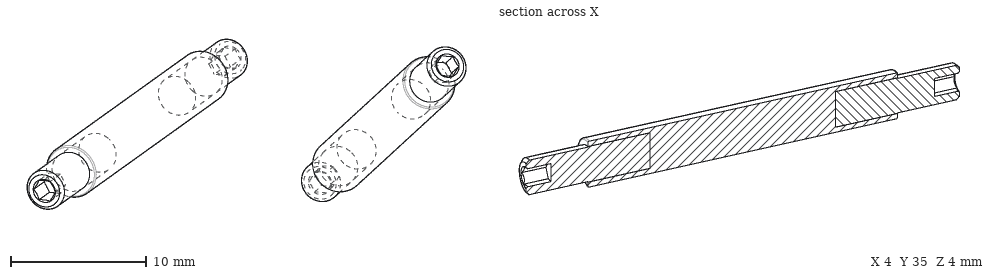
import cadquery as cq
import math

total_length = 35.0
sleeve_diameter = 4.0
screw_diameter = 3.0
screw_tip_diameter = 2.5
screw_protrusion = 5.0
screw_engagement = screw_protrusion
socket_across_flats = 1.5
socket_depth = 2.0
lead_in_diameter = 1.8
lead_in_angle = 45.0
sleeve_edge_radius = 0.1

half_length = total_length / 2
sleeve_length = total_length - 2 * screw_protrusion
screw_length = screw_protrusion + screw_engagement
screw_chamfer = (screw_diameter - screw_tip_diameter) / 2
socket_across_corners = socket_across_flats / math.cos(math.pi / 6)
lead_in_depth = (lead_in_diameter - socket_across_flats) / 2 / math.tan(math.radians(lead_in_angle))


def plane_facing_out(direction, distance):
    """Plane across the axis whose normal points out along direction * Y."""
    return cq.Plane(origin=(0, direction * distance, 0), xDir=(1, 0, 0), normal=(0, direction, 0))


def make_sleeve():
    """Round spacer with rounded end edges and a blind hole in each end for a set screw."""
    sleeve = cq.Workplane(plane_facing_out(1, -sleeve_length / 2))
    sleeve = sleeve.circle(sleeve_diameter / 2).extrude(sleeve_length)
    sleeve = sleeve.faces("<Y or >Y").edges().fillet(sleeve_edge_radius)
    for direction in (-1, 1):
        hole = cq.Workplane(plane_facing_out(direction, sleeve_length / 2))
        hole = hole.circle(screw_diameter / 2).extrude(-screw_engagement)
        sleeve = sleeve.cut(hole)
    return sleeve


def make_set_screw(direction):
    """Set screw with a chamfered outer end and a hexagon socket with a conical lead-in."""
    outer_end = plane_facing_out(direction, half_length)
    screw = cq.Workplane(outer_end).circle(screw_diameter / 2).extrude(-screw_length)
    outer_face = ">Y" if direction > 0 else "<Y"
    screw = screw.faces(outer_face).edges().chamfer(screw_chamfer)
    socket = cq.Workplane(outer_end).polygon(6, socket_across_corners).extrude(-socket_depth)
    lead_in = cq.Workplane(outer_end).circle(lead_in_diameter / 2)
    lead_in = lead_in.extrude(-lead_in_depth, taper=lead_in_angle)
    return screw.cut(socket).cut(lead_in)


sleeve = make_sleeve()
set_screws = [make_set_screw(direction) for direction in (-1, 1)]

result = cq.Compound.makeCompound([sleeve.val(), *[screw.val() for screw in set_screws]])